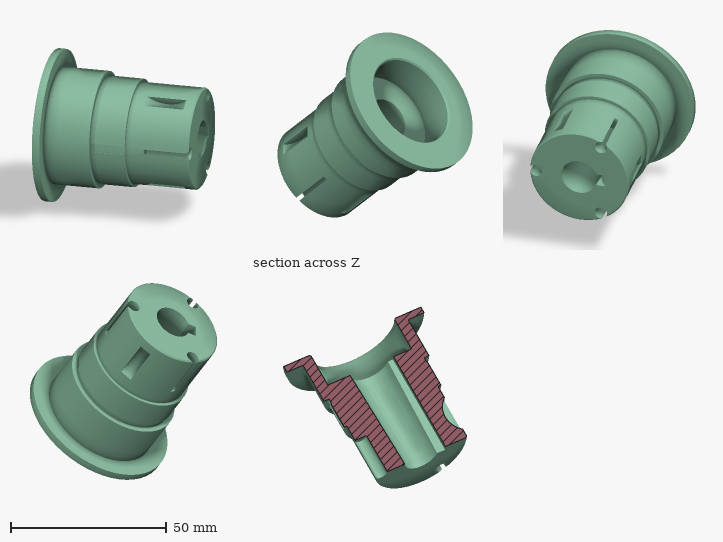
import cadquery as cq
import math

length = 50.0
flange_end = 2.5
hub_end = 17.5
relief_end = 19.1
collar_end = 29.0

flange_radius = 24.75
hub_radius = 19.0
relief_radius = 17.3
collar_radius = 17.55
barrel_radius = 16.5
end_chamfer = 0.4

socket_radius = 15.0
socket_depth = 12.5
socket_chamfer = 0.5
bore_mouth_radius = 7.0
bore_end_radius = 6.0
keyway_width = 4.1
keyway_reach = 8.5

repeat_count = 3
window_width = 4.0
window_length = 12.9
window_center_x = 40.1
window_floor = 13.5
hole_start = 35.0
hole_radius = 2.1
hole_center = 14.5

seat_width = 2.9
seat_depth = 0.2
seat_first_center = 18.75
seat_last_center = 28.4


def cylinder(radius, start, end):
    return cq.Workplane("YZ").workplane(offset=start).circle(radius).extrude(end - start)


def box(x_range, y_range, width):
    """Box spanning the given X and Y ranges, centered on Z = 0."""
    size_x = x_range[1] - x_range[0]
    size_y = y_range[1] - y_range[0]
    block = cq.Workplane("XY").box(size_x, size_y, width, centered=(False, False, True))
    return block.translate((x_range[0], y_range[0], 0))


def around_axis(tool, first_angle):
    """Evenly spaced copies of a tool around the X axis."""
    step = 360 / repeat_count
    copies = [tool.rotate((0, 0, 0), (1, 0, 0), first_angle + i * step) for i in range(repeat_count)]
    merged = copies[0]
    for duplicate in copies[1:]:
        merged = merged.union(duplicate)
    return merged


def make_body():
    barrel = cylinder(barrel_radius, 0, length).faces(">X").chamfer(end_chamfer)
    body = cylinder(flange_radius, 0, flange_end)
    body = body.union(cylinder(hub_radius, 0, hub_end))
    body = body.union(cylinder(relief_radius, 0, relief_end))
    body = body.union(cylinder(collar_radius, relief_end, collar_end))
    return body.union(barrel)


def make_socket():
    """Round socket with a chamfered mouth in the flange face."""
    return (
        cq.Workplane("XY")
        .lineTo(0, socket_radius + socket_chamfer)
        .lineTo(socket_chamfer, socket_radius)
        .lineTo(socket_depth, socket_radius)
        .lineTo(socket_depth, 0)
        .close()
        .revolve(360, (0, 0, 0), (1, 0, 0))
    )


def make_tapered_bore():
    """Conical bore narrowing from the socket floor to the far end."""
    return (
        cq.Workplane("XY")
        .moveTo(socket_depth, 0)
        .lineTo(socket_depth, bore_mouth_radius)
        .lineTo(length, bore_end_radius)
        .lineTo(length, 0)
        .close()
        .revolve(360, (0, 0, 0), (1, 0, 0))
    )


def make_window_cutter():
    """Disc cutter whose rim leaves an arched window floor at +Y."""
    half_length = window_length / 2
    half_width = window_width / 2
    rim_height = math.sqrt(barrel_radius**2 - half_width**2)
    sag = rim_height - window_floor
    cutter_radius = (half_length**2 + sag**2) / (2 * sag)
    return (
        cq.Workplane("XY")
        .center(window_center_x, window_floor + cutter_radius)
        .circle(cutter_radius)
        .extrude(half_width, both=True)
        .intersect(box(
            (window_center_x - half_length, window_center_x + half_length),
            (0, flange_radius),
            window_width,
        ))
    )


def make_end_hole():
    """Axial hole on the +Y side, open at the far end and along the barrel surface."""
    return cylinder(hole_radius, hole_start, length).translate((0, hole_center, 0))


def make_key_seat():
    """Round-ended seat on the -Y side, sunk evenly below the relief and the collar."""
    seat_length = seat_last_center - seat_first_center + seat_width
    seat = (
        cq.Workplane("XZ")
        .center((seat_first_center + seat_last_center) / 2, 0)
        .slot2D(seat_length, seat_width)
        .extrude(hub_radius)
    )
    seat = seat.intersect(cylinder(hub_radius, hub_end, collar_end))
    seat = seat.cut(cylinder(relief_radius - seat_depth, hub_end, relief_end))
    return seat.cut(cylinder(collar_radius - seat_depth, relief_end, collar_end))


result = make_body().cut(make_key_seat())
result = result.cut(make_socket())
result = result.cut(make_tapered_bore())
result = result.cut(box((socket_depth, length), (0, keyway_reach), keyway_width))
result = result.cut(around_axis(make_window_cutter(), 0))
result = result.cut(around_axis(make_end_hole(), 180))